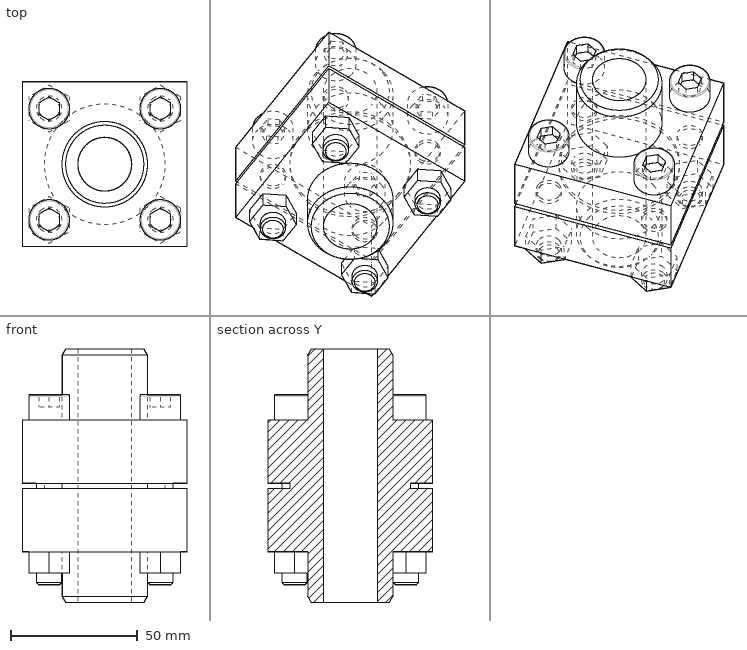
import cadquery as cq
import math


flange_side = 65.0
flange_thickness = 25.0
flange_gap = 2.0
gap_ring_diameter = 47.6

pipe_diameter = 33.7
bore_diameter = 21.1
total_height = 100.0
upper_pipe_length = 28.0
weld_bevel_length = 2.5
weld_bevel_angle = 30.0
weld_bevel_depth = weld_bevel_length * math.tan(math.radians(weld_bevel_angle))

bolt_circle_diameter = 62.0
screw_diameter = 10.0
screw_length = 65.0
screw_tip_chamfer = 0.9
head_diameter = 16.0
head_height = screw_diameter
head_edge_radius = 0.5
socket_width = 8.0
socket_depth = 5.0
nut_width = 16.0
nut_height = 8.4

flanges_top = flange_gap / 2 + flange_thickness
flanges_bottom = -flanges_top
pipe_top = flanges_top + upper_pipe_length
pipe_bottom = pipe_top - total_height
bolt_offset = bolt_circle_diameter / 2 * math.cos(math.radians(45))


def cylinder(diameter, bottom, top):
    return cq.Workplane("XY").workplane(offset=bottom).circle(diameter / 2).extrude(top - bottom)


def hexagon(flat_width, bottom, top):
    """Hexagonal prism with two flats facing +X and -X."""
    corner_diameter = flat_width / math.cos(math.radians(30))
    prism = cq.Workplane("XY").workplane(offset=bottom).polygon(6, corner_diameter).extrude(top - bottom)
    return prism.rotate((0, 0, 0), (0, 0, 1), 30)


def flange(bottom):
    block = cq.Workplane("XY").box(flange_side, flange_side, flange_thickness, centered=(True, True, False))
    return block.translate((0, 0, bottom))


def pipe():
    """Solid pipe envelope with a welding bevel at both ends."""
    outer_radius = pipe_diameter / 2
    end_radius = outer_radius - weld_bevel_depth
    half_profile = [
        (0, pipe_bottom),
        (end_radius, pipe_bottom),
        (outer_radius, pipe_bottom + weld_bevel_length),
        (outer_radius, pipe_top - weld_bevel_length),
        (end_radius, pipe_top),
        (0, pipe_top),
    ]
    return cq.Workplane("XZ").polyline(half_profile).close().revolve(360, (0, 0), (0, 1))


def screw_with_nut():
    """Socket head screw seated on the upper flange, with its nut under the lower one."""
    head_top = flanges_top + head_height
    head = cylinder(head_diameter, flanges_top, head_top).faces(">Z").edges().fillet(head_edge_radius)
    shank = cylinder(screw_diameter, flanges_top - screw_length, flanges_top)
    shank = shank.faces("<Z").chamfer(screw_tip_chamfer)
    nut = hexagon(nut_width, flanges_bottom - nut_height, flanges_bottom)
    socket = hexagon(socket_width, head_top - socket_depth, head_top)
    return shank.union(head).union(nut).cut(socket)


body = flange(flange_gap / 2).union(flange(flanges_bottom))
body = body.union(cylinder(gap_ring_diameter, -flange_gap / 2, flange_gap / 2))
body = body.union(pipe())
body = body.cut(cylinder(bore_diameter, pipe_bottom, pipe_top))

fastener = screw_with_nut()
for x_side in (-1, 1):
    for y_side in (-1, 1):
        body = body.union(fastener.translate((x_side * bolt_offset, y_side * bolt_offset, 0)))

result = body